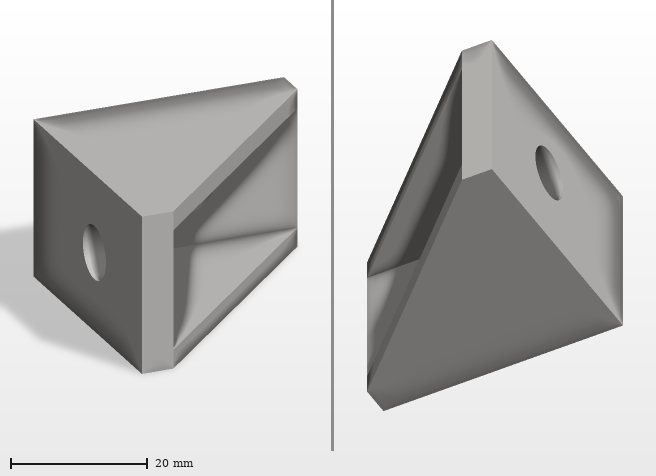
import cadquery as cq

leg_length = 40.0
height = 25.0
leg_thickness = 5.0
side_thickness = 3.0

hole_diameter = 8.5
hole_offset = 22.5
hole_height = height / 2


def wedge():
    """Right-angled block with its outer corner at the origin and blunt tips."""
    outline = [
        (0, 0),
        (leg_length, 0),
        (leg_length, leg_thickness),
        (leg_thickness, leg_length),
        (0, leg_length),
    ]
    return cq.Workplane("XY").polyline(outline).close().extrude(height)


def pocket():
    """Triangular pocket between the legs, open along the sloping face."""
    outline = [
        (leg_thickness, leg_thickness),
        (leg_length, leg_thickness),
        (leg_thickness, leg_length),
    ]
    pocket_height = height - 2 * side_thickness
    base = cq.Workplane("XY").workplane(offset=side_thickness)
    return base.polyline(outline).close().extrude(pocket_height)


def bolt_hole(start, direction):
    """Cylinder through one leg, starting at a point on an outer face."""
    radius = hole_diameter / 2
    return cq.Solid.makeCylinder(radius, leg_thickness, cq.Vector(*start), cq.Vector(*direction))


hole_along_y = bolt_hole((hole_offset, 0, hole_height), (0, 1, 0))
hole_along_x = bolt_hole((0, hole_offset, hole_height), (1, 0, 0))

result = wedge().cut(pocket()).cut(hole_along_y).cut(hole_along_x)